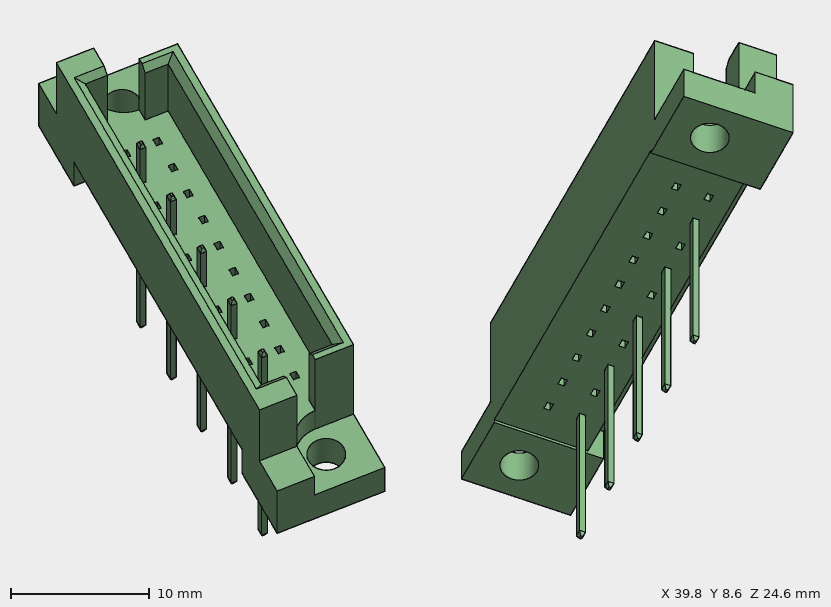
import cadquery as cq


LENGTH = 39.8
DEPTH = 8.6
HEIGHT = 11.65
BASE_HEIGHT = 5.3
EAR_HEIGHT = 3.0

FRONT_WALL_LENGTH = 33.9
FRONT_WALL_DEPTH = 3.0
FRONT_CAVITY_LENGTH = 29.37
REAR_WALL_LENGTH = FRONT_CAVITY_LENGTH
REAR_WALL_DEPTH = 3.05
REAR_CAVITY_LENGTH = 27.4
WALL_GAP = DEPTH - FRONT_WALL_DEPTH - REAR_WALL_DEPTH
WALL_THICKNESS = 1.25
LEAD_IN_X = 0.5
LEAD_IN_Y = 0.65
LEAD_IN_HEIGHT = 0.5

MOUNT_HOLE_DIAMETER = 2.8
MOUNT_HOLE_X = 17.05
MOUNT_HOLE_Y = 5.3
EAR_POCKET_RADIUS = WALL_GAP

RELIEF_LENGTH = 28.0
RELIEF_HEIGHT = 0.28
FRONT_RECESS_TOP = 3.0
FRONT_RECESS_DEPTH = 1.25

COLUMNS = 10
COLUMN_SPAN = 22.85
COLUMN_PITCH = COLUMN_SPAN / (COLUMNS - 1)
GRID_SHIFT = -0.15
FRONT_ROW_Y = FRONT_WALL_DEPTH
REAR_ROW_Y = FRONT_ROW_Y + WALL_GAP
COLUMN_X = [GRID_SHIFT - COLUMN_SPAN / 2 + i * COLUMN_PITCH for i in range(COLUMNS)]

PIN_WIDTH = 0.6
PIN_THICKNESS = 0.48
PIN_TOP = 9.95
PIN_BOTTOM = -12.95
PIN_TIP_LENGTH = 0.35
PIN_TIP_BEVEL = 0.15


def block(x_size, y_start, y_end, z_start, z_end, x_center=0.0):
    """Box centred on x_center, between the given Y and Z limits."""
    return (
        cq.Workplane("XY")
        .box(x_size, y_end - y_start, z_end - z_start, centered=(True, False, False))
        .translate((x_center, y_start, z_start))
    )


def frustum(x, y, z_start, size_start, z_end, size_end):
    """Four-sided frustum between two rectangles centred on (x, y)."""
    return (
        cq.Workplane("XY", origin=(x, y, z_start))
        .rect(*size_start)
        .workplane(offset=z_end - z_start)
        .rect(*size_end)
        .loft(combine=True)
    )


def wall(length, y_outer, y_gap, cavity_length):
    """U-shaped wall, open towards the gap, with a bevelled inner rim."""
    y_start, y_end = sorted((y_outer, y_gap))
    cavity_depth = y_end - y_start - WALL_THICKNESS
    cavity = (cavity_length, 2 * cavity_depth)
    rim = (cavity_length + 2 * LEAD_IN_X, 2 * (cavity_depth + LEAD_IN_Y))
    body = block(length, y_start, y_end, BASE_HEIGHT, HEIGHT)
    body = body.cut(frustum(0, y_gap, BASE_HEIGHT, cavity, HEIGHT, cavity))
    return body.cut(frustum(0, y_gap, HEIGHT - LEAD_IN_HEIGHT, cavity, HEIGHT, rim))


def ear_pocket(side):
    """Space above one mounting pad, its inner front corner rounded over the whole wall gap."""
    x_inner = REAR_WALL_LENGTH / 2
    x_outer = LENGTH / 2
    pocket = block(
        x_outer - x_inner, FRONT_WALL_DEPTH, DEPTH, EAR_HEIGHT, BASE_HEIGHT, side * (x_inner + x_outer) / 2
    )
    inner_side = "<X" if side > 0 else ">X"
    return pocket.edges("|Z").edges("<Y").edges(inner_side).fillet(EAR_POCKET_RADIUS)


def make_housing():
    body = block(LENGTH, 0, DEPTH, 0, BASE_HEIGHT)

    for side in (-1, 1):
        body = body.cut(ear_pocket(side))
    mount_holes = (
        cq.Workplane("XY")
        .pushPoints([(side * MOUNT_HOLE_X, MOUNT_HOLE_Y) for side in (-1, 1)])
        .circle(MOUNT_HOLE_DIAMETER / 2)
        .extrude(BASE_HEIGHT)
    )
    body = body.cut(mount_holes)

    body = body.cut(block(RELIEF_LENGTH, 0, DEPTH, 0, RELIEF_HEIGHT))
    body = body.cut(block(RELIEF_LENGTH, 0, FRONT_RECESS_DEPTH, 0, FRONT_RECESS_TOP))

    body = body.union(wall(FRONT_WALL_LENGTH, 0, FRONT_WALL_DEPTH, FRONT_CAVITY_LENGTH))
    body = body.union(wall(REAR_WALL_LENGTH, DEPTH, FRONT_WALL_DEPTH + WALL_GAP, REAR_CAVITY_LENGTH))

    contact_holes = (
        cq.Workplane("XY")
        .pushPoints([(x, y) for x in COLUMN_X for y in (FRONT_ROW_Y, REAR_ROW_Y)])
        .rect(PIN_WIDTH, PIN_THICKNESS)
        .extrude(BASE_HEIGHT)
    )
    return body.cut(contact_holes)


def make_pin(x):
    """Straight rectangular pin with a tapered tip at each end."""
    y = FRONT_ROW_Y
    section = (PIN_WIDTH, PIN_THICKNESS)
    tip = (PIN_WIDTH - 2 * PIN_TIP_BEVEL, PIN_THICKNESS - 2 * PIN_TIP_BEVEL)
    shank_bottom = PIN_BOTTOM + PIN_TIP_LENGTH
    shank_top = PIN_TOP - PIN_TIP_LENGTH
    shank = frustum(x, y, shank_bottom, section, shank_top, section)
    lower_tip = frustum(x, y, PIN_BOTTOM, tip, shank_bottom, section)
    upper_tip = frustum(x, y, shank_top, section, PIN_TOP, tip)
    return shank.union(lower_tip).union(upper_tip)


housing = make_housing()
pins = [make_pin(x) for x in COLUMN_X[1::2]]

result = cq.Compound.makeCompound([housing.val(), *[pin.val() for pin in pins]])